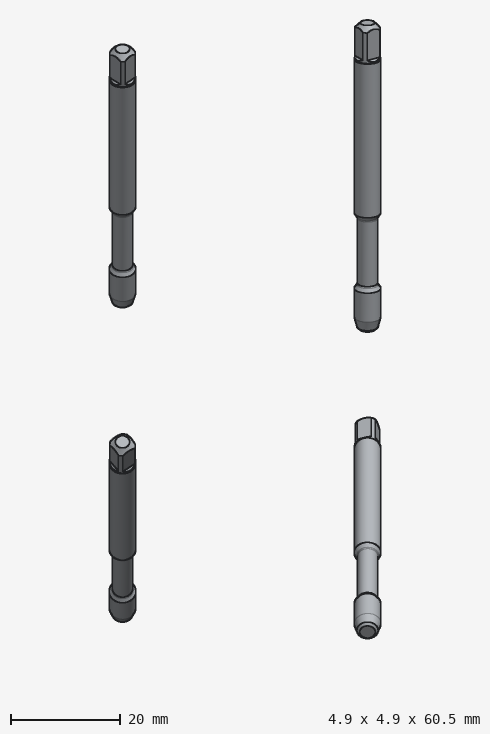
import cadquery as cq
import math

total_length = 60.55
shank_diameter = 4.9
neck_diameter = 3.75
thread_diameter = shank_diameter

tip_diameter = 2.85
tip_chamfer_height = 0.5
lead_end_diameter = 3.9
lead_top = 2.4
thread_top = 8.1

shank_bottom = 23.0

shoulder_angle = 33
shoulder_fillet_radius = 0.55
shoulder_cone_height = (shank_diameter - neck_diameter) / 2 / math.tan(math.radians(shoulder_angle))
shoulder_height = shoulder_cone_height + shoulder_fillet_radius * math.tan(math.radians(shoulder_angle / 2))
neck_start = thread_top + shoulder_height

square_width = 3.9
square_corner_diameter = 4.7
square_runout_bottom = 53.65
ledge_top = 53.45
ledge_chamfer = (shank_diameter - square_corner_diameter) / 2
end_face_diameter = 2.6
end_chamfer_height = (square_corner_diameter - end_face_diameter) / 2
flat_depth = (square_corner_diameter - square_width) / 2


def revolve(outline):
    """Revolve a closed (radius, height) outline about the Z axis."""
    return outline.close().revolve(360, (0, 0), (0, 1))


def shoulder_fillet_points(shoulder_start, direction):
    """Cone end, arc middle and neck end of a fillet; direction is +1 for a shoulder rising to the neck."""
    center_radius = neck_diameter / 2 + shoulder_fillet_radius
    points = []
    for angle in (shoulder_angle, shoulder_angle / 2, 0):
        radius = center_radius - shoulder_fillet_radius * math.cos(math.radians(angle))
        rise = shoulder_height - shoulder_fillet_radius * math.sin(math.radians(angle))
        points.append((radius, shoulder_start + direction * rise))
    return points


def make_flat_cutter():
    """Material outside one flat of the square, with a 45 degree run-out at its lower end."""
    inner = square_width / 2
    outer = inner + 2 * flat_depth
    return (
        cq.Workplane("XZ")
        .moveTo(inner, square_runout_bottom + flat_depth)
        .lineTo(outer, square_runout_bottom - flat_depth)
        .lineTo(outer, total_length)
        .lineTo(inner, total_length)
        .close()
        .extrude(shank_diameter / 2, both=True)
    )


def make_shank():
    """Neck, shank and drive square."""
    cone_end, fillet_middle, fillet_end = shoulder_fillet_points(shank_bottom, -1)
    shank = revolve(
        cq.Workplane("XZ")
        .moveTo(0, neck_start)
        .lineTo(neck_diameter / 2, neck_start)
        .lineTo(*fillet_end)
        .threePointArc(fillet_middle, cone_end)
        .lineTo(shank_diameter / 2, shank_bottom)
        .lineTo(shank_diameter / 2, ledge_top - ledge_chamfer)
        .lineTo(square_corner_diameter / 2, ledge_top)
        .lineTo(square_corner_diameter / 2, total_length - end_chamfer_height)
        .lineTo(end_face_diameter / 2, total_length)
        .lineTo(0, total_length)
    )
    cutter = make_flat_cutter()
    for angle in (0, 90, 180, 270):
        shank = shank.cut(cutter.rotate((0, 0, 0), (0, 0, 1), angle))
    return shank


def make_threaded_head():
    """Plain thread cylinder with a tapered lead, a chamfered tip and a blended shoulder."""
    cone_end, fillet_middle, fillet_end = shoulder_fillet_points(thread_top, 1)
    return revolve(
        cq.Workplane("XZ")
        .moveTo(0, 0)
        .lineTo(tip_diameter / 2, 0)
        .lineTo(lead_end_diameter / 2, tip_chamfer_height)
        .lineTo(thread_diameter / 2, lead_top)
        .lineTo(thread_diameter / 2, thread_top)
        .lineTo(*cone_end)
        .threePointArc(fillet_middle, fillet_end)
        .lineTo(0, neck_start)
    )


shank = make_shank()
threaded_head = make_threaded_head()

result = cq.Compound.makeCompound([shank.val(), threaded_head.val()])